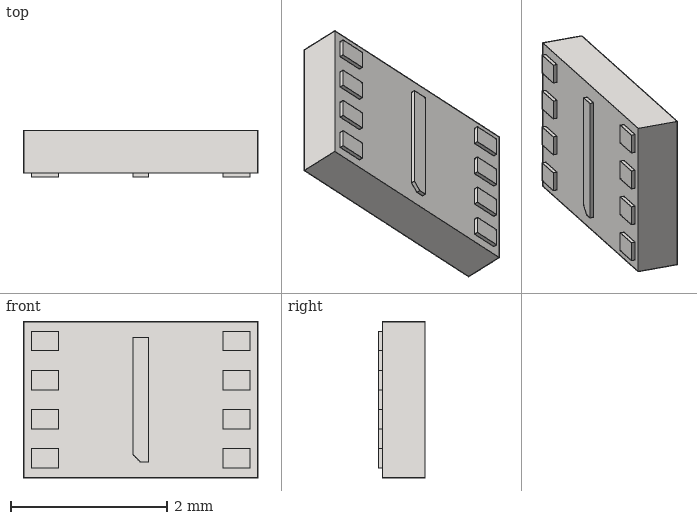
import cadquery as cq

length = 3.0
depth = 0.6
height = 2.0

contact_thickness = 0.05
body_depth = depth - contact_thickness

pad_length = 0.35
pad_height = 0.25
pad_pitch = 0.5
pads_per_column = 4
edge_gap = 0.1
column_spacing = length - 2 * edge_gap - pad_length

bar_width = 0.2
bar_height = 1.6
bar_bevel = 0.1


def make_body():
    """Plain block with its contact face on the plane Y = 0."""
    return cq.Workplane("XY").box(length, body_depth, height, centered=(True, False, True))


def make_pads():
    """Grid of pads rising from the contact face towards -Y."""
    return (
        cq.Workplane("XZ")
        .rarray(column_spacing, pad_pitch, 2, pads_per_column)
        .rect(pad_length, pad_height)
        .extrude(contact_thickness)
    )


def make_bar():
    """Central bar, bevelled at its lower -X corner."""
    return (
        cq.Workplane("XZ")
        .rect(bar_width, bar_height)
        .extrude(contact_thickness)
        .edges("|Y")
        .edges("<(1, 0, 1)")
        .chamfer(bar_bevel)
    )


result = make_body().union(make_pads()).union(make_bar())